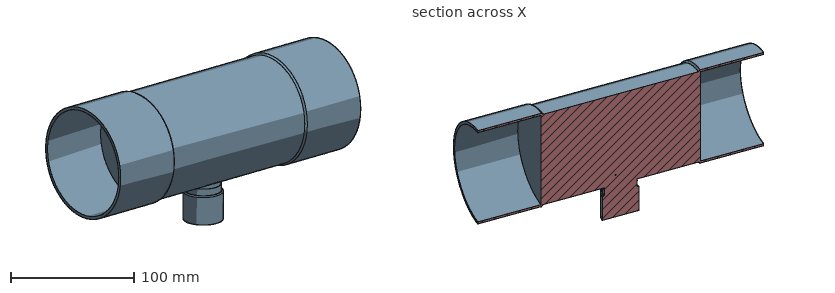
import cadquery as cq

pipe_length = 256.0
pipe_diameter = 91.0
socket_diameter = 94.0
socket_length = 57.0
socket_cone_length = 1.5
bore_diameter = 89.0
bore_depth = 56.5

branch_root_diameter = 29.5
branch_neck_diameter = 30.0
branch_socket_diameter = 33.0
branch_neck_level = 47.0
branch_socket_level = 52.7
branch_chamfer = 1.0
branch_tip_level = 77.5


def make_pipe():
    """Solid pipe with both sockets, as one profile turned about the Y axis."""
    pipe_radius = pipe_diameter / 2
    socket_radius = socket_diameter / 2
    end = pipe_length / 2
    cone_start = end - socket_length
    cone_end = cone_start - socket_cone_length
    return (
        cq.Workplane("XY")
        .moveTo(0, -end)
        .lineTo(socket_radius, -end)
        .lineTo(socket_radius, -cone_start)
        .lineTo(pipe_radius, -cone_end)
        .lineTo(pipe_radius, cone_end)
        .lineTo(socket_radius, cone_start)
        .lineTo(socket_radius, end)
        .lineTo(0, end)
        .close()
        .revolve(360, (0, 0), (0, 1))
    )


def make_branch():
    """Solid branch from the pipe axis to its tip, turned about the Z axis."""
    root_radius = branch_root_diameter / 2
    neck_radius = branch_neck_diameter / 2
    socket_radius = branch_socket_diameter / 2
    return (
        cq.Workplane("XZ")
        .moveTo(0, 0)
        .lineTo(root_radius, 0)
        .lineTo(root_radius, -branch_neck_level)
        .lineTo(neck_radius, -branch_neck_level)
        .lineTo(neck_radius, -branch_socket_level)
        .lineTo(socket_radius - branch_chamfer, -branch_socket_level)
        .lineTo(socket_radius, -branch_socket_level - branch_chamfer)
        .lineTo(socket_radius, -branch_tip_level)
        .lineTo(0, -branch_tip_level)
        .close()
        .revolve(360, (0, 0), (0, 1))
    )


def make_end_bore():
    """Volume removed from the socket at the -Y end."""
    return (
        cq.Workplane("XZ", origin=(0, -pipe_length / 2, 0))
        .circle(bore_diameter / 2)
        .extrude(-bore_depth)
    )


body = make_pipe().union(make_branch())
end_bore = make_end_bore()
result = body.cut(end_bore).cut(end_bore.mirror("XZ"))